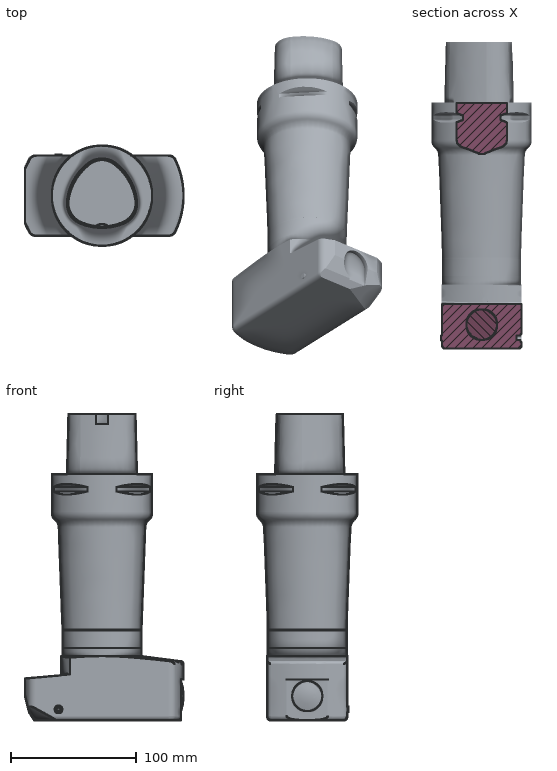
import cadquery as cq
import math


total_height = 244.0
shank_length = 48.0
flange_top = total_height - shank_length
flange_bottom = 165.6
neck_top = 154.0
joint_groove_height = 72.0
joint_groove_width = 1.0
coupling_band_top = 57.7
head_top = 51.2

flange_radius = 40.0
neck_top_radius = 34.5
neck_bottom_radius = 31.5
relieved_radius = 62.98 / 2

gripper_slot_angles = (45, 135, 225, 315)
gripper_slot_depth = 4.8
gripper_wall_top = 185.7
gripper_wall_bottom = 182.4
gripper_flank_angle = 28
gripper_flank_rise = gripper_slot_depth * math.tan(math.radians(gripper_flank_angle))

lobe_offset = 12.0
lobe_radius = 17.6
flat_reach = 25.7
shank_taper = math.degrees(math.atan(1 / 40))
notch_radius = 6.9
notch_inner_y = -22.5
notch_depth = 8.2

head_half_width = 32.0
head_left = -61.38
head_end_radius = 65.0
left_face_half_width = 21.8
left_chamfer_length = 5.1
left_corner_radius = 6.0
right_corner_radius = 6.0
bottom_edge_radius = 3.5

cone_outer_radius = 62.4
cone_outer_height = 47.2
rim_height = 44.3

step_left_height = 33.5
step_slope = math.tan(math.radians(5))
step_wall_radius = 53.5
step_wall_x = -32.6
step_wall_centre_y = -5.2
step_root_radius = 0.8

upper_facet_height = 19.7
lower_facet_height = 6.5
lower_facet_x = -58.0
bottom_left_x = -53.6

corner_cut_x_front = -35.5
corner_cut_height = 9.6
corner_cut_height_x = -53.0

end_flat_x = 62.9
end_flat_top = 32.8

pin_radius = 12.0
pin_height = 19.4
pin_left = -57.5
pin_relief_y_min = -12.0
pin_relief_y_max = 4.0

screw_x = -34.6
screw_height = 8.8
screw_recess_diameter = 6.0
screw_recess_depth = 1.0
screw_socket_diameter = 3.3
screw_socket_depth = 4.0
screw_tip_diameter = 4.4
screw_tip_length = 0.8

nozzle_y = -2.9
nozzle_height = 38.8
nozzle_recess_diameter = 4.4
nozzle_recess_depth = 1.0
nozzle_bore_diameter = 1.5
nozzle_bore_depth = 5.0

margin = 20.0


def polar(radius, degrees):
    angle = math.radians(degrees)
    return (radius * math.cos(angle), radius * math.sin(angle))


def make_shank():
    """Tapered polygon shank: three lobe arcs joined by three flatter tangent arcs."""
    gap = flat_reach - lobe_radius
    side_offset = (lobe_offset**2 - gap**2) / (2 * gap - lobe_offset)
    side_radius = side_offset + flat_reach
    lobe_x, lobe_y = polar(lobe_offset, -30)
    contact = math.degrees(math.atan2(lobe_y - side_offset, lobe_x))
    contact_x, contact_y = polar(side_radius, contact)
    contact_y += side_offset
    contact_radius = math.hypot(contact_x, contact_y)
    contact_angle = math.degrees(math.atan2(contact_y, contact_x))
    mirrored_angle = -180 - contact_angle

    outline = cq.Workplane("XY").workplane(offset=flange_top)
    outline = outline.moveTo(*polar(contact_radius, mirrored_angle))
    for turn in (0, 120, 240):
        flat_middle = polar(flat_reach, turn - 90)
        flat_end = polar(contact_radius, turn + contact_angle)
        lobe_tip = polar(lobe_offset + lobe_radius, turn - 30)
        lobe_end = polar(contact_radius, turn + 120 + mirrored_angle)
        outline = outline.threePointArc(flat_middle, flat_end).threePointArc(lobe_tip, lobe_end)
    shank = outline.close().extrude(shank_length, taper=shank_taper)

    notch = (
        cq.Workplane("XY")
        .workplane(offset=total_height - notch_depth)
        .center(0, notch_inner_y - notch_radius)
        .circle(notch_radius)
        .extrude(notch_depth)
    )
    return shank.cut(notch)


def make_flange_and_neck():
    """Turned part: flange, S-shaped shoulder, tapered neck and the joint groove."""
    middle_radius = (flange_radius + neck_top_radius) / 2
    middle_height = (flange_bottom + neck_top) / 2
    groove_top = joint_groove_height + joint_groove_width / 2
    groove_bottom = joint_groove_height - joint_groove_width / 2
    profile = (
        cq.Workplane("XZ")
        .moveTo(0, flange_top)
        .lineTo(flange_radius, flange_top)
        .lineTo(flange_radius, flange_bottom)
        .tangentArcPoint((middle_radius, middle_height), relative=False)
        .tangentArcPoint((neck_top_radius, neck_top), relative=False)
        .lineTo(neck_bottom_radius, groove_top)
        .lineTo(relieved_radius, groove_top)
        .lineTo(relieved_radius, groove_bottom)
        .lineTo(neck_bottom_radius, groove_bottom)
        .lineTo(neck_bottom_radius, coupling_band_top)
        .lineTo(relieved_radius, coupling_band_top)
        .lineTo(relieved_radius, rim_height)
        .lineTo(0, rim_height)
        .close()
    )
    return profile.revolve(360, (0, 0, 0), (0, 1, 0))


def make_gripper_slot(angle):
    """V-shaped slot with a narrow flat wall, cut straight across the flange."""
    wall_radius = flange_radius - gripper_slot_depth
    slot = (
        cq.Workplane("XZ")
        .moveTo(wall_radius, gripper_wall_top)
        .lineTo(flange_radius, gripper_wall_top + gripper_flank_rise)
        .lineTo(flange_radius, gripper_wall_bottom - gripper_flank_rise)
        .lineTo(wall_radius, gripper_wall_bottom)
        .close()
        .extrude(flange_radius, both=True)
    )
    return slot.rotate((0, 0, 0), (0, 0, 1), angle)


def make_head_block():
    """Plan outline of the head, extruded and rounded along its bottom and upright corners."""
    end_x = math.sqrt(head_end_radius**2 - head_half_width**2)
    chamfer_end_x = head_left + left_chamfer_length
    block = (
        cq.Workplane("XY")
        .moveTo(head_left, left_face_half_width)
        .lineTo(head_left, -left_face_half_width)
        .lineTo(chamfer_end_x, -head_half_width)
        .lineTo(end_x, -head_half_width)
        .threePointArc((head_end_radius, 0), (end_x, head_half_width))
        .lineTo(chamfer_end_x, head_half_width)
        .close()
        .extrude(head_top + margin)
    )
    for corner_x, corner_radius in ((chamfer_end_x, left_corner_radius), (end_x, right_corner_radius)):
        for corner_y in (-head_half_width, head_half_width):
            corner = cq.selectors.NearestToPointSelector((corner_x, corner_y, head_top / 2))
            block = block.edges("|Z").edges(corner).fillet(corner_radius)
    return block.faces("<Z").edges().fillet(bottom_edge_radius)


def make_head_envelope():
    """Turned shape that gives the head its conical top and rounded rim."""
    rim_bulge = math.sqrt(0.5)
    rim_middle = (
        cone_outer_radius + rim_bulge * (head_end_radius - cone_outer_radius),
        rim_height + rim_bulge * (cone_outer_height - rim_height),
    )
    return (
        cq.Workplane("XZ")
        .lineTo(head_end_radius + margin, 0)
        .lineTo(head_end_radius + margin, rim_height)
        .lineTo(head_end_radius, rim_height)
        .threePointArc(rim_middle, (cone_outer_radius, cone_outer_height))
        .lineTo(neck_bottom_radius, head_top)
        .lineTo(0, head_top)
        .close()
        .revolve(360, (0, 0, 0), (0, 1, 0))
    )


def make_step_cut():
    """Space above the sloping step, bounded by the round step wall."""
    step_start = head_left - margin
    step_end = 0.0
    step_cut_half_width = head_half_width + step_root_radius
    above_step = (
        cq.Workplane("XZ")
        .moveTo(step_start, step_left_height - step_slope * margin)
        .lineTo(step_end, step_left_height + step_slope * (step_end - head_left))
        .lineTo(step_end, head_top + margin)
        .lineTo(step_start, head_top + margin)
        .close()
        .extrude(step_cut_half_width, both=True)
    )
    step_wall = (
        cq.Workplane("XY")
        .center(step_wall_x + step_wall_radius, step_wall_centre_y)
        .circle(step_wall_radius)
        .extrude(head_top + margin)
    )
    step_cut = above_step.cut(step_wall)
    wall_root = cq.selectors.NearestToPointSelector((step_wall_x, step_wall_centre_y, step_left_height))
    return step_cut.faces("<Z").edges(wall_root).fillet(step_root_radius)


def make_facet_cut():
    """Two sloping facets under the -X end."""
    return (
        cq.Workplane("XZ")
        .moveTo(head_left, upper_facet_height)
        .lineTo(lower_facet_x, lower_facet_height)
        .lineTo(bottom_left_x, 0)
        .lineTo(head_left - margin, 0)
        .lineTo(head_left - margin, upper_facet_height)
        .close()
        .extrude(head_half_width + margin, both=True)
    )


def make_corner_cut():
    """Half space below the oblique plane across the -X, -Y bottom corner."""
    on_side = cq.Vector(corner_cut_height_x, -head_half_width, corner_cut_height)
    on_bottom_side = cq.Vector(corner_cut_x_front, -head_half_width, 0)
    on_bottom_middle = cq.Vector(bottom_left_x, 0, 0)
    along_side = on_bottom_side - on_side
    normal = along_side.cross(on_bottom_middle - on_side)
    if normal.z > 0:
        normal = normal * -1
    plane = cq.Plane(origin=on_side.toTuple(), xDir=along_side.toTuple(), normal=normal.toTuple())
    cut_size = 4 * head_half_width
    return cq.Workplane(plane).rect(cut_size, cut_size).extrude(cut_size)


def make_end_flat_cut():
    return cq.Workplane("XY").box(
        margin, 2 * head_half_width, end_flat_top, centered=(False, True, False)
    ).translate((end_flat_x, 0, 0))


def cylinder_along_x(start_x, y, z, diameter, length):
    return cq.Workplane("YZ", origin=(start_x, y, z)).circle(diameter / 2).extrude(length)


def cylinder_along_y(x, start_y, z, diameter, length):
    return cq.Workplane("XZ", origin=(x, start_y, z)).circle(diameter / 2).extrude(-length)


def make_pin_relief():
    """Flat-backed relief beside the recessed end of the pin."""
    return cq.Workplane("XY").box(
        margin, pin_relief_y_max - pin_relief_y_min, pin_height, centered=False
    ).translate((pin_left - margin, pin_relief_y_min, 0))


def make_head():
    head = make_head_block().intersect(make_head_envelope())
    for cut in (make_step_cut(), make_facet_cut(), make_corner_cut(), make_end_flat_cut(), make_pin_relief()):
        head = head.cut(cut)

    bore_length = head_end_radius - head_left
    head = head.cut(cylinder_along_x(head_left, 0, pin_height, 2 * pin_radius, bore_length))

    for diameter, depth in (
        (screw_recess_diameter, screw_recess_depth),
        (screw_socket_diameter, screw_socket_depth),
    ):
        head = head.cut(cylinder_along_y(screw_x, -head_half_width, screw_height, diameter, depth))
    screw_tip = cylinder_along_y(
        screw_x, head_half_width - screw_tip_length, screw_height, screw_tip_diameter, 2 * screw_tip_length
    )
    head = head.union(screw_tip)

    for diameter, depth in (
        (nozzle_recess_diameter, nozzle_recess_depth),
        (nozzle_bore_diameter, nozzle_bore_depth),
    ):
        head = head.cut(cylinder_along_x(step_wall_x, nozzle_y, nozzle_height, diameter, depth))
    return head


def make_tool_body():
    flange_and_neck = make_flange_and_neck()
    for angle in gripper_slot_angles:
        flange_and_neck = flange_and_neck.cut(make_gripper_slot(angle))
    return flange_and_neck.union(make_shank()).union(make_head())


def make_slide_pin():
    """Round pin with a flat -X end and a shallow dome standing out of the +X flat."""
    dome_height = head_end_radius - end_flat_x
    dome_radius = (pin_radius**2 + dome_height**2) / (2 * dome_height)
    dome_centre_x = head_end_radius - dome_radius
    middle_y = pin_radius / 2
    dome_middle = (dome_centre_x + math.sqrt(dome_radius**2 - middle_y**2), middle_y)
    pin = (
        cq.Workplane("XY")
        .moveTo(pin_left, 0)
        .lineTo(pin_left, pin_radius)
        .lineTo(end_flat_x, pin_radius)
        .threePointArc(dome_middle, (head_end_radius, 0))
        .close()
        .revolve(360, (0, 0, 0), (1, 0, 0))
    )
    return pin.translate((0, 0, pin_height))


tool_body = make_tool_body()
slide_pin = make_slide_pin()

result = cq.Compound.makeCompound([tool_body.val(), slide_pin.val()])